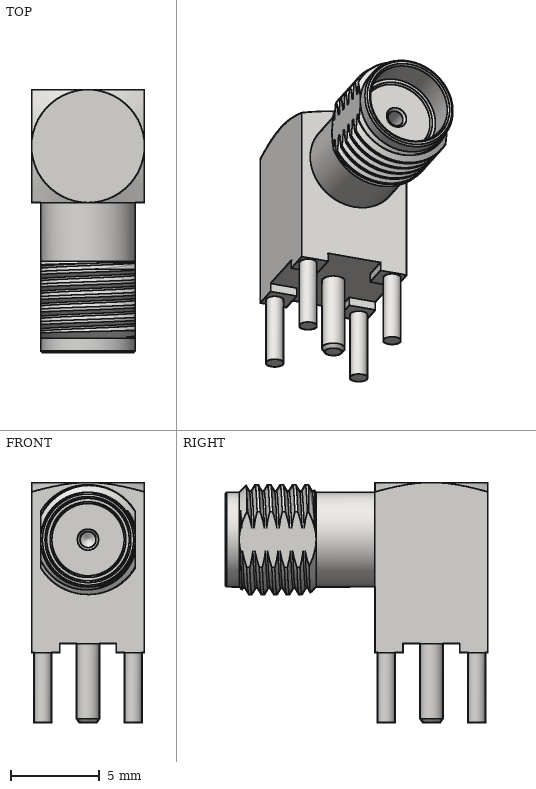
import cadquery as cq
import math


BLOCK_WIDTH = 6.35
BLOCK_HEIGHT = 9.56
CORNER_DROP = 0.53
CHANNEL_WIDTH = BLOCK_WIDTH / 2
CHANNEL_DEPTH = 0.5

OVERALL_HEIGHT = 13.5
LEG_LENGTH = OVERALL_HEIGHT - BLOCK_HEIGHT
LEG_DIAMETER = 1.0
LEG_SPACING = 5.08
PIN_DIAMETER = 1.3
PIN_TIP_LENGTH = 0.23
PIN_TIP_INSET = 0.17

AXIS_DEPTH = 3.21
AXIS_HEIGHT = BLOCK_HEIGHT - AXIS_DEPTH
BARREL_RADIUS = 2.665
BARREL_LENGTH = 8.43
BARREL_END_CHAMFER = 0.1

THREAD_START = 3.31
THREAD_END = 7.63
THREAD_MAJOR_RADIUS = 3.09
THREAD_MINOR_RADIUS = 2.745
INCH = 25.4
THREADS_PER_INCH = 36
THREAD_PITCH = INCH / THREADS_PER_INCH
THREAD_CREST = 0.17
THREAD_ROOT = 0.12
FIRST_CREST = 3.835

SOCKET_RADIUS = 2.32
SOCKET_DEPTH = 1.9
SOCKET_MOUTH_CHAMFER = 0.1
RECESS_RADIUS = 2.03
RECESS_CHAMFER = 0.1
CONTACT_RADIUS = 0.45
CONTACT_MOUTH_RADIUS = 0.595
CONTACT_DEPTH = 2.5
CONTACT_TIP_ANGLE = 118

BLOCK_FACE_Y = -BLOCK_WIDTH / 2


def barrel_turning(profile):
    """Solid of revolution about the barrel axis from (radius, distance from block face) points."""
    half_section = cq.Workplane("XY").polyline(profile).close()
    turned = half_section.revolve(360, (0, 0, 0), (0, 1, 0))
    return on_barrel(turned)


def on_barrel(shape):
    """Move a shape built along +Y from the origin onto the barrel axis, pointing along -Y."""
    return shape.rotate((0, 0, 0), (0, 0, 1), 180).translate((0, BLOCK_FACE_Y, AXIS_HEIGHT))


def make_block():
    block = cq.Workplane("XY").box(BLOCK_WIDTH, BLOCK_WIDTH, BLOCK_HEIGHT, centered=(True, True, False))

    flat_radius = BLOCK_WIDTH / 2
    corner_radius = flat_radius * math.sqrt(2)
    envelope = (
        cq.Workplane("XZ")
        .moveTo(0, 0)
        .lineTo(corner_radius, 0)
        .lineTo(corner_radius, BLOCK_HEIGHT - CORNER_DROP)
        .lineTo(flat_radius, BLOCK_HEIGHT)
        .lineTo(0, BLOCK_HEIGHT)
        .close()
        .revolve(360, (0, 0, 0), (0, 1, 0))
    )
    block = block.intersect(envelope)

    for length_x, length_y in ((BLOCK_WIDTH, CHANNEL_WIDTH), (CHANNEL_WIDTH, BLOCK_WIDTH)):
        channel = cq.Workplane("XY").box(length_x, length_y, CHANNEL_DEPTH, centered=(True, True, False))
        block = block.cut(channel)
    return block


def make_legs():
    return (
        cq.Workplane("XY")
        .rect(LEG_SPACING, LEG_SPACING, forConstruction=True)
        .vertices()
        .circle(LEG_DIAMETER / 2)
        .extrude(-LEG_LENGTH)
    )


def make_pin():
    radius = PIN_DIAMETER / 2
    return (
        cq.Workplane("XZ")
        .polyline([
            (0, CHANNEL_DEPTH),
            (radius, CHANNEL_DEPTH),
            (radius, PIN_TIP_LENGTH - LEG_LENGTH),
            (radius - PIN_TIP_INSET, -LEG_LENGTH),
            (0, -LEG_LENGTH),
        ])
        .close()
        .revolve(360, (0, 0, 0), (0, 1, 0))
    )


def make_barrel():
    return barrel_turning([
        (0, 0),
        (BARREL_RADIUS, 0),
        (BARREL_RADIUS, BARREL_LENGTH - BARREL_END_CHAMFER),
        (BARREL_RADIUS - BARREL_END_CHAMFER, BARREL_LENGTH),
        (0, BARREL_LENGTH),
    ])


def make_groove_arc():
    """Half turn of the right-hand groove, on the upper side of an axis along +Y, centred at the origin."""
    overcut = 0.1
    slope = (THREAD_PITCH - THREAD_CREST - THREAD_ROOT) / 2 / (THREAD_MAJOR_RADIUS - THREAD_MINOR_RADIUS)
    half_root = THREAD_ROOT / 2
    outer_radius = THREAD_MAJOR_RADIUS + overcut
    half_mouth = half_root + slope * (outer_radius - THREAD_MINOR_RADIUS)

    rise = THREAD_PITCH / 2
    helix = cq.Wire.makeHelix(THREAD_PITCH, rise, THREAD_MINOR_RADIUS)
    groove = (
        cq.Workplane("XZ")
        .polyline([
            (THREAD_MINOR_RADIUS, -half_root),
            (outer_radius, -half_mouth),
            (outer_radius, half_mouth),
            (THREAD_MINOR_RADIUS, half_root),
        ])
        .close()
        .sweep(cq.Workplane(obj=helix), isFrenet=True)
    )
    groove = groove.translate((0, 0, -rise / 2))
    return groove.rotate((0, 0, 0), (1, 0, 0), -90).rotate((0, 0, 0), (0, 1, 0), 180)


def make_thread():
    end_chamfer = THREAD_MAJOR_RADIUS - BARREL_RADIUS
    thread = barrel_turning([
        (0, THREAD_START),
        (BARREL_RADIUS, THREAD_START),
        (THREAD_MAJOR_RADIUS, THREAD_START + end_chamfer),
        (THREAD_MAJOR_RADIUS, THREAD_END - end_chamfer),
        (BARREL_RADIUS, THREAD_END),
        (0, THREAD_END),
    ])

    clear_height = 3 * THREAD_MAJOR_RADIUS
    envelope = cq.Workplane("XY").box(2 * BARREL_RADIUS, 2 * BARREL_LENGTH, clear_height)
    thread = thread.intersect(on_barrel(envelope))

    upper_arc = make_groove_arc()
    lower_arc = upper_arc.rotate((0, 0, 0), (0, 1, 0), 180).translate((0, THREAD_PITCH / 2, 0))
    groove_start = FIRST_CREST - 1.5 * THREAD_PITCH
    turns = math.ceil((THREAD_END - groove_start) / THREAD_PITCH) + 1
    for turn in range(turns):
        distance = groove_start + turn * THREAD_PITCH
        for arc in (upper_arc, lower_arc):
            thread = thread.cut(on_barrel(arc.translate((0, distance, 0))))
    return thread


def make_socket():
    """Stepped bore at the barrel end, with the contact hole in its floor."""
    shoulder = BARREL_LENGTH - SOCKET_DEPTH
    floor = shoulder - RECESS_CHAMFER
    contact_end = floor - CONTACT_DEPTH
    tip_length = CONTACT_RADIUS / math.tan(math.radians(CONTACT_TIP_ANGLE / 2))
    return barrel_turning([
        (0, BARREL_LENGTH),
        (SOCKET_RADIUS + SOCKET_MOUTH_CHAMFER, BARREL_LENGTH),
        (SOCKET_RADIUS, BARREL_LENGTH - SOCKET_MOUTH_CHAMFER),
        (SOCKET_RADIUS, shoulder),
        (RECESS_RADIUS + RECESS_CHAMFER, shoulder),
        (RECESS_RADIUS, floor),
        (CONTACT_MOUTH_RADIUS, floor),
        (CONTACT_RADIUS, floor - (CONTACT_MOUTH_RADIUS - CONTACT_RADIUS)),
        (CONTACT_RADIUS, contact_end),
        (0, contact_end - tip_length),
    ])


result = (
    make_block()
    .union(make_legs())
    .union(make_pin())
    .union(make_barrel())
    .union(make_thread())
    .cut(make_socket())
)